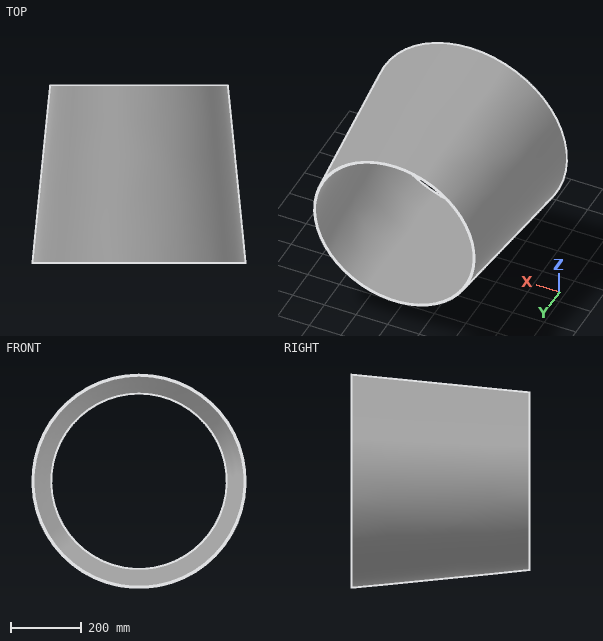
import cadquery as cq

LARGE_DIAMETER = 609.6
SMALL_DIAMETER = 508.0
LENGTH = 508.0
WALL = 4.0


def frustum(large_diameter, small_diameter):
    """Solid cone frustum from the large end at Y = 0 to the small end at Y = LENGTH."""
    return cq.Workplane("XY").add(
        cq.Solid.makeCone(
            large_diameter / 2,
            small_diameter / 2,
            LENGTH,
            pnt=cq.Vector(0, 0, 0),
            dir=cq.Vector(0, 1, 0),
        )
    )


outer = frustum(LARGE_DIAMETER, SMALL_DIAMETER)
bore = frustum(LARGE_DIAMETER - 2 * WALL, SMALL_DIAMETER - 2 * WALL)

result = outer.cut(bore)